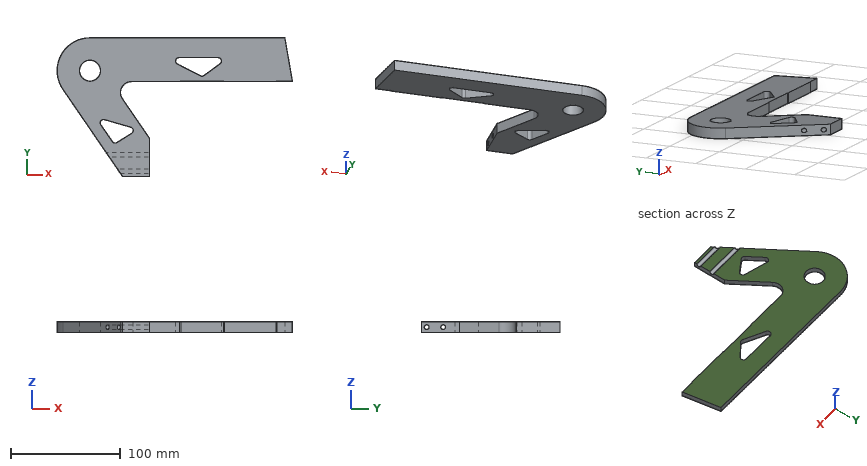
import cadquery as cq
import math

LENGTH = 214.7
WIDTH = 126.7
THICKNESS = 10.0

ELBOW_RADIUS = 30.0
PIVOT_DIAMETER = 19.0
INNER_FILLET = 9.9

ARM_WIDTH = 40.1
ARM_TOP_LENGTH = 207.8
RELIEF_DEPTH = 0.5
RAMP_LENGTH = 1.3
RELIEF_START = 111.6
RELIEF_END = 152.9
TIP_RELIEF_START = 199.5

LEG_ANGLE = math.radians(55.6)
LEG_RIGHT = 84.4
LEG_CORNER_DROP = 91.7

WINDOW_RADIUS = 3.0
ARM_WINDOW = [(111.2, -21.3), (146.8, -21.3), (132.2, -32.0)]
LEG_WINDOW = [(42.5, -77.7), (66.3, -84.5), (53.0, -93.0)]

CROSS_HOLE_DIAMETER = 4.0
CROSS_HOLE_DROPS = (106.7, 121.7)


def elbow_point(angle):
    """Point on the outer elbow arc at an angle from +X."""
    return (
        ELBOW_RADIUS * (1 + math.cos(angle)),
        ELBOW_RADIUS * (math.sin(angle) - 1),
    )


def plate():
    """Bent arm outline, with shallow reliefs along the arm's lower edge."""
    tangent_angle = 1.5 * math.pi - LEG_ANGLE
    leg_tangent = elbow_point(tangent_angle)
    arc_middle = elbow_point((math.pi / 2 + tangent_angle) / 2)
    leg_slope = math.tan(LEG_ANGLE)
    leg_bottom_left = leg_tangent[0] + (WIDTH + leg_tangent[1]) / leg_slope
    inner_corner = LEG_RIGHT - (LEG_CORNER_DROP - ARM_WIDTH) / leg_slope
    relief_y = RELIEF_DEPTH - ARM_WIDTH

    body = (
        cq.Workplane("XY")
        .moveTo(ELBOW_RADIUS, 0)
        .threePointArc(arc_middle, leg_tangent)
        .lineTo(leg_bottom_left, -WIDTH)
        .lineTo(LEG_RIGHT, -WIDTH)
        .lineTo(LEG_RIGHT, -LEG_CORNER_DROP)
        .lineTo(inner_corner, -ARM_WIDTH)
        .lineTo(RELIEF_START, -ARM_WIDTH)
        .lineTo(RELIEF_START + RAMP_LENGTH, relief_y)
        .lineTo(RELIEF_END - RAMP_LENGTH, relief_y)
        .lineTo(RELIEF_END, -ARM_WIDTH)
        .lineTo(TIP_RELIEF_START, -ARM_WIDTH)
        .lineTo(TIP_RELIEF_START + RAMP_LENGTH, relief_y)
        .lineTo(LENGTH, relief_y)
        .lineTo(ARM_TOP_LENGTH, 0)
        .close()
        .extrude(THICKNESS)
    )
    inner_edge = cq.selectors.NearestToPointSelector((inner_corner, -ARM_WIDTH, THICKNESS / 2))
    return body.edges("|Z").edges(inner_edge).fillet(INNER_FILLET)


def window(corner_centres):
    """Cutter for a rounded triangular window."""
    return (
        cq.Workplane("XY")
        .polyline(corner_centres)
        .close()
        .offset2D(WINDOW_RADIUS)
        .extrude(THICKNESS)
    )


def pivot_hole():
    """Cutter for the pivot hole, concentric with the elbow."""
    return (
        cq.Workplane("XY")
        .center(ELBOW_RADIUS, -ELBOW_RADIUS)
        .circle(PIVOT_DIAMETER / 2)
        .extrude(THICKNESS)
    )


def cross_holes():
    """Cutter for the holes running along X at mid thickness."""
    centres = [(-drop, THICKNESS / 2) for drop in CROSS_HOLE_DROPS]
    return (
        cq.Workplane("YZ")
        .pushPoints(centres)
        .circle(CROSS_HOLE_DIAMETER / 2)
        .extrude(LENGTH)
    )


result = (
    plate()
    .cut(pivot_hole())
    .cut(window(ARM_WINDOW))
    .cut(window(LEG_WINDOW))
    .cut(cross_holes())
)